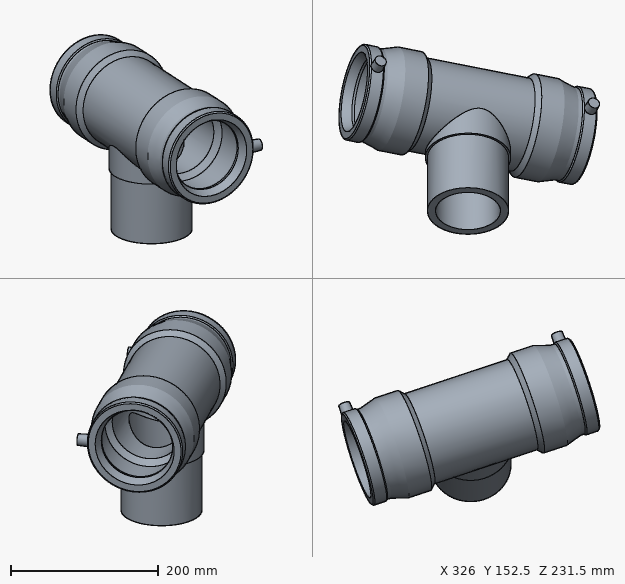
import cadquery as cq

LENGTH = 326.0
OVERALL_WIDTH = 152.5
OVERALL_HEIGHT = 231.5
BODY_D = 129.0
BULGE_D = 143.0
END_RING_D = 132.7
BORE_D = 99.0
SOCKET_D = 115.5
MOUTH_D = 110.0

RING_BEVEL = 2.0
RING_BACK = 19.0
NECK_START = 21.0
NECK_END = 26.0
BULGE_START = 49.0
BULGE_END = 81.8
BODY_START = 89.0
MOUTH_CONE_END = 13.5
THROAT_END = 17.0
SOCKET_END = 71.7
SOCKET_CONE_LENGTH = (SOCKET_D - BORE_D) / 2

BRANCH_D = 110.2
BRANCH_BORE_D = 88.0
COLLAR_D = 115.7
COLLAR_BOTTOM = BULGE_D / 2
BRANCH_BOTTOM = OVERALL_HEIGHT - BULGE_D / 2

PIN_TIP_D = 16.0
PIN_BASE_D = 18.0
PIN_TIP_Y = OVERALL_WIDTH - BULGE_D / 2
PIN_BASE_Y = 60.3
PIN_INSET = 10.0


def revolve_about_x(half_profile):
    """Revolve a solid given by (distance from end, diameter) pairs, mirrored about the middle."""
    left = [(inset - LENGTH / 2, diameter / 2) for inset, diameter in half_profile]
    right = [(-x, radius) for x, radius in reversed(left)]
    axis_start = (-LENGTH / 2, 0)
    axis_end = (LENGTH / 2, 0)
    outline = [axis_start] + left + right + [axis_end]
    return cq.Workplane("XY").polyline(outline).close().revolve(360, axis_start, axis_end)


def downward_cylinder(diameter, depth):
    """Cylinder from the main pipe axis down to the given depth."""
    return cq.Workplane("XY").circle(diameter / 2).extrude(-depth)


def terminal_pin(x):
    """Pin tapering towards its free tip."""
    base = cq.Workplane("XZ", origin=(x, PIN_BASE_Y, 0)).circle(PIN_BASE_D / 2)
    tip_offset = PIN_BASE_Y - PIN_TIP_Y
    return base.workplane(offset=tip_offset).circle(PIN_TIP_D / 2).loft()


pipe = revolve_about_x([
    (0, BODY_D),
    (RING_BEVEL, END_RING_D),
    (RING_BACK, END_RING_D),
    (NECK_START, BODY_D),
    (NECK_END, BODY_D),
    (BULGE_START, BULGE_D),
    (BULGE_END, BULGE_D),
    (BODY_START, BODY_D),
])

branch = downward_cylinder(BRANCH_D, BRANCH_BOTTOM)
collar = downward_cylinder(COLLAR_D, COLLAR_BOTTOM)
solid = pipe.union(branch).union(collar)

for side in (-1, 1):
    solid = solid.union(terminal_pin(side * (LENGTH / 2 - PIN_INSET)))

main_bore = revolve_about_x([
    (0, MOUTH_D),
    (MOUTH_CONE_END, BORE_D),
    (THROAT_END, BORE_D),
    (THROAT_END, SOCKET_D),
    (SOCKET_END, SOCKET_D),
    (SOCKET_END + SOCKET_CONE_LENGTH, BORE_D),
])
branch_bore = downward_cylinder(BRANCH_BORE_D, BRANCH_BOTTOM)

result = solid.cut(main_bore).cut(branch_bore)